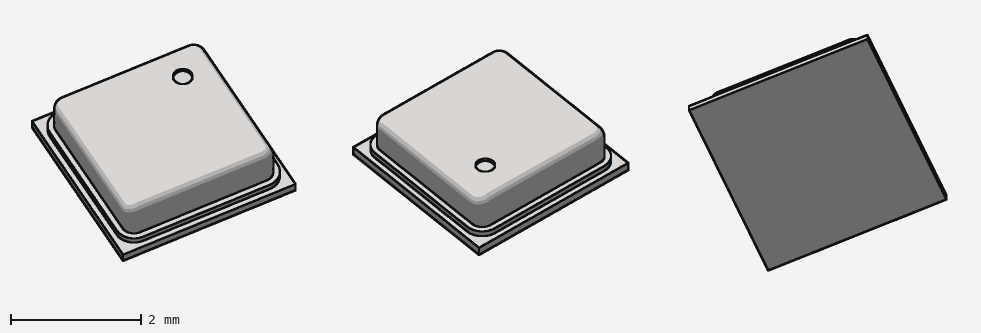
import cadquery as cq

board_side = 3.0
board_thickness = 0.15

step_width = 0.1
brim_side = board_side - 2 * step_width
brim_thickness = 0.1
brim_corner_radius = 0.3
lid_side = brim_side - 2 * step_width
lid_edge_radius = 0.2
total_height = 0.84

port_diameter = 0.3
port_depth = 0.05
port_x = -0.7
port_y = 0.7


def square_block(side, bottom, top):
    """Square block centred on the Z axis, between two heights."""
    return (
        cq.Workplane("XY")
        .workplane(offset=bottom)
        .rect(side, side)
        .extrude(top - bottom)
    )


def make_brim():
    """Thin flange with rounded corners, resting on the board."""
    block = square_block(brim_side, board_thickness, board_thickness + brim_thickness)
    return block.edges("|Z").fillet(brim_corner_radius)


def make_lid():
    """Can with its upright edges and top rim rounded to one radius."""
    block = square_block(lid_side, board_thickness, total_height)
    return block.edges("|Z or >Z").fillet(lid_edge_radius)


def make_port():
    """Shallow cylinder to cut into the top of the lid."""
    return (
        cq.Workplane("XY")
        .workplane(offset=total_height - port_depth)
        .center(port_x, port_y)
        .circle(port_diameter / 2)
        .extrude(port_depth)
    )


board = square_block(board_side, 0, board_thickness)
result = board.union(make_brim()).union(make_lid()).cut(make_port())